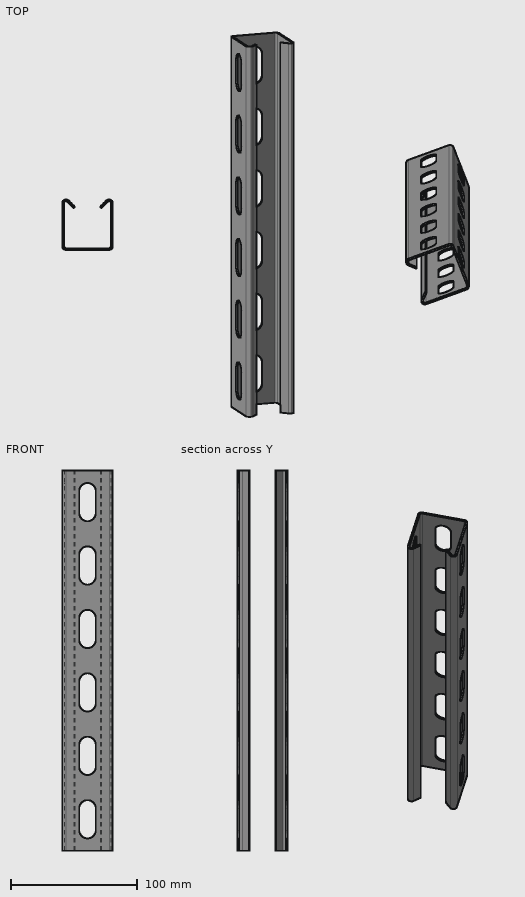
import cadquery as cq
import math

length = 300.0
width = 40.0
depth = 40.0

thickness = 1.5
bend_radius = 3.0
inner_radius = bend_radius - thickness
lip_length = 7.0
lip_slope = 45
lip_turn = 90 + lip_slope

slot_count = 6
slot_pitch = length / slot_count
slot_length = 30.0
slot_width = 13.0

bend_x = width / 2 - bend_radius
bend_y = depth / 2 - bend_radius
corner_center = (bend_x, -bend_y)
lip_center = (bend_x, bend_y)


def polar(center, radius, degrees):
    """Point at a given distance and direction from a centre."""
    angle = math.radians(degrees)
    return center[0] + radius * math.cos(angle), center[1] + radius * math.sin(angle)


def lip_tip(radius):
    """Free end of the lip face that leaves a bend of this radius."""
    return polar(polar(lip_center, radius, lip_turn), lip_length, lip_turn + 90)


def half_channel():
    """The X > 0 half: outer face from web to lip tip, then back along the inner face."""
    profile = (
        cq.Workplane("XY")
        .moveTo(0, -depth / 2)
        .lineTo(*polar(corner_center, bend_radius, -90))
        .threePointArc(polar(corner_center, bend_radius, -45), polar(corner_center, bend_radius, 0))
        .lineTo(*polar(lip_center, bend_radius, 0))
        .threePointArc(
            polar(lip_center, bend_radius, lip_turn / 2), polar(lip_center, bend_radius, lip_turn)
        )
        .lineTo(*lip_tip(bend_radius))
        .lineTo(*lip_tip(inner_radius))
        .lineTo(*polar(lip_center, inner_radius, lip_turn))
        .threePointArc(
            polar(lip_center, inner_radius, lip_turn / 2), polar(lip_center, inner_radius, 0)
        )
        .lineTo(*polar(corner_center, inner_radius, 0))
        .threePointArc(polar(corner_center, inner_radius, -45), polar(corner_center, inner_radius, -90))
        .lineTo(0, -depth / 2 + thickness)
        .close()
    )
    return profile.extrude(length)


def slot_row(plane, cut_depth):
    """Row of upright slots along Z, cut equally to both sides of a middle plane."""
    slot_centers = [(0, (i + 0.5) * slot_pitch) for i in range(slot_count)]
    return (
        cq.Workplane(plane)
        .pushPoints(slot_centers)
        .slot2D(slot_length, slot_width, 90)
        .extrude(cut_depth / 2, both=True)
    )


right_half = half_channel()
channel = right_half.union(right_half.mirror("YZ")).clean()

result = channel.cut(slot_row("XZ", depth)).cut(slot_row("YZ", width))